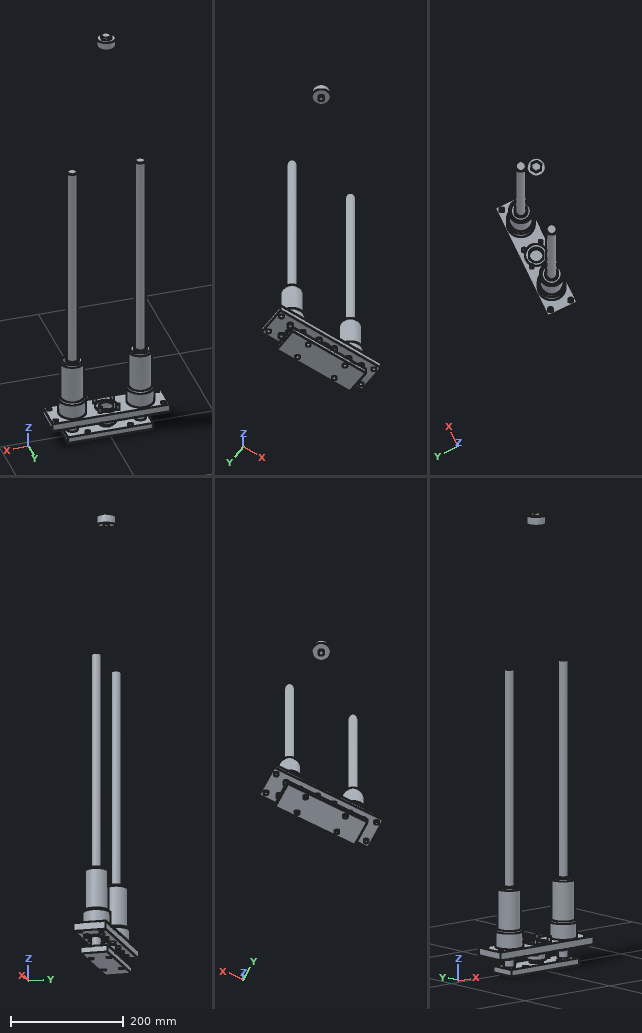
import cadquery as cq

carriage_length = 160.0
carriage_width = 50.0
carriage_thickness = 12.5
carriage_hole_dia = 8.0
carriage_hole_x = 40.0
carriage_hole_y = 17.0

rod_dia = 20.0
rod_spacing = 127.0
rod_top = 556.0
rod_chamfer = 1.0

neck_dia = 20.0
neck_height = 6.0
neck_foot_dia = 23.0
neck_foot_height = 2.0
coupling_dia = 35.0

plate_length = 220.0
plate_width = 60.0
plate_thickness = 15.0
plate_bottom = 34.0
corner_hole_dia = 8.0
corner_hole_x = 101.0
corner_hole_y = 20.0

seat_dia = 40.0
seat_depth = 1.0
bore_dia = 27.0

collar_dia = 50.0
collar_height = 32.5
sleeve_dia = 42.5
sleeve_top = 158.0
sleeve_chamfer = 3.0
seal_dia = 23.0
seal_height = 2.0

head_dia = 10.0
head_height = 4.0
stud_dia = 6.2
stud_height = 10.0
seat_screw_pitch = 33.0
bushing_screw_pitch = 27.5

total_height = 832.0
hub_corner_dia = 20.0
hub_height = 6.0
disc_dia = 35.0
disc_height = 17.0
pin_dia = 10.0
pin_height = 5.0

plate_top = plate_bottom + plate_thickness
collar_top = plate_top + collar_height
center = [(0, 0)]
rod_places = [(-rod_spacing / 2, 0), (rod_spacing / 2, 0)]


def rectangle_corners(offset_x, offset_y, center_x=0):
    """Four points at the corners of a rectangle centred on the X axis."""
    return [(center_x + side_x * offset_x, side_y * offset_y) for side_x in (-1, 1) for side_y in (-1, 1)]


def cylinders(places, diameter, bottom, top):
    """Upright cylinders between two heights, one at each place."""
    base = cq.Workplane().workplane(offset=bottom).pushPoints(places)
    return base.circle(diameter / 2).extrude(top - bottom)


def flat_plate(length, width, bottom, top):
    """Rectangular plate between two heights, centred on the Z axis."""
    return cq.Workplane().workplane(offset=bottom).rect(length, width).extrude(top - bottom)


def make_coupling():
    disc_bottom = carriage_thickness + neck_height
    foot = cylinders(center, neck_foot_dia, carriage_thickness, carriage_thickness + neck_foot_height)
    neck = cylinders(center, neck_dia, carriage_thickness, disc_bottom)
    disc = cylinders(center, coupling_dia, disc_bottom, plate_bottom)
    return foot.union(neck).union(disc)


def make_carriage():
    plate = flat_plate(carriage_length, carriage_width, 0, carriage_thickness)
    hole_places = rectangle_corners(carriage_hole_x, carriage_hole_y)
    holes = cylinders(hole_places, carriage_hole_dia, 0, carriage_thickness)
    rods = cylinders(rod_places, rod_dia, 0, rod_top).faces(">Z").chamfer(rod_chamfer)
    return plate.cut(holes).union(rods).union(make_coupling())


def make_housing_plate():
    plate = flat_plate(plate_length, plate_width, plate_bottom, plate_top)
    corner_places = rectangle_corners(corner_hole_x, corner_hole_y)
    corner_holes = cylinders(corner_places, corner_hole_dia, plate_bottom, plate_top)
    bore = cylinders(center, bore_dia, plate_bottom, plate_top)
    seat = cylinders(center, seat_dia, plate_top - seat_depth, plate_top)
    return plate.cut(corner_holes).cut(bore).cut(seat)


def make_bushings():
    collars = cylinders(rod_places, collar_dia, plate_top, collar_top)
    collars = collars.faces(">Z").chamfer((collar_dia - sleeve_dia) / 2)
    sleeves = cylinders(rod_places, sleeve_dia, plate_top, sleeve_top)
    sleeves = sleeves.faces(">Z").chamfer(sleeve_chamfer)
    seals = cylinders(rod_places, seal_dia, plate_bottom - seal_height, sleeve_top + seal_height)
    return collars.union(sleeves).union(seals)


def make_screws():
    seat_places = rectangle_corners(seat_screw_pitch / 2, seat_screw_pitch / 2)
    head_places = list(seat_places)
    for rod_x, _ in rod_places:
        head_places += rectangle_corners(bushing_screw_pitch / 2, bushing_screw_pitch / 2, rod_x)
    heads = cylinders(head_places, head_dia, plate_bottom - head_height, plate_bottom)
    studs = cylinders(seat_places, stud_dia, plate_top, plate_top + stud_height)
    return heads.union(studs)


def make_housing():
    rod_holes = cylinders(rod_places, rod_dia, 0, rod_top)
    return make_housing_plate().union(make_bushings()).union(make_screws()).cut(rod_holes)


def make_end_piece():
    hub_bottom = total_height - hub_height
    disc_bottom = hub_bottom - disc_height
    hub = cq.Workplane().workplane(offset=hub_bottom).polygon(6, hub_corner_dia).extrude(hub_height)
    hub = hub.rotate((0, 0, 0), (0, 0, 1), 90)
    disc = cylinders(center, disc_dia, disc_bottom, hub_bottom)
    pin = cylinders(center, pin_dia, disc_bottom - pin_height, disc_bottom)
    return disc.union(hub).union(pin)


carriage = make_carriage()
housing = make_housing()
end_piece = make_end_piece()
bodies = [carriage, housing, end_piece]
result = cq.Compound.makeCompound([body.solids().val() for body in bodies])